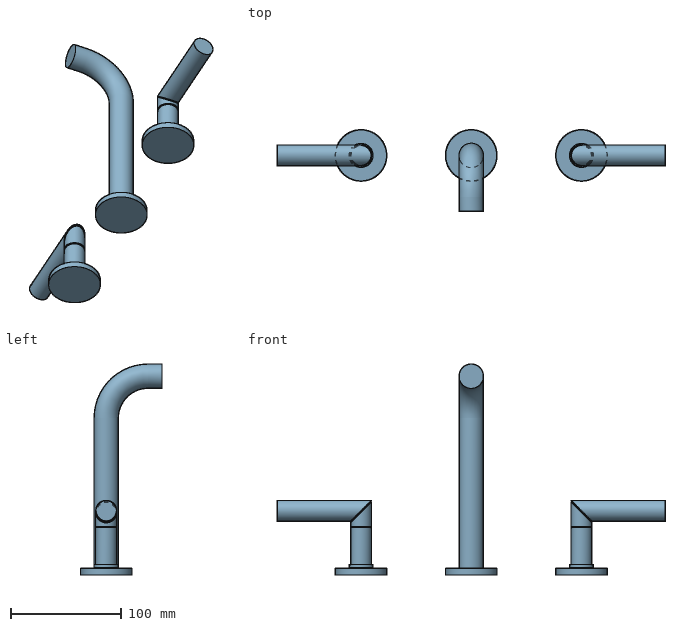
import cadquery as cq

handle_spacing = 200.0
lever_reach = 76.2

spout_height = 191.58
spout_diameter = 22.225
spout_reach = 50.8
bend_radius = 38.1

flange_diameter = 47.0
flange_thickness = 6.35
flange_edge = 0.4

collar_diameter = 21.8
collar_bottom = 7.0
collar_top = 9.5
foot_diameter = 20.6
stem_diameter = 19.05
joint_height = 44.0

groove_width = 1.0
neck_diameter = 18.0

lever_top = 67.8
lever_axis_height = lever_top - stem_diameter / 2


def disc(diameter, bottom, top):
    """Upright cylinder on the Z axis."""
    return cq.Workplane("XY").workplane(offset=bottom).circle(diameter / 2).extrude(top - bottom)


def make_flange():
    return disc(flange_diameter, 0, flange_thickness).faces(">Z").chamfer(flange_edge)


def make_spout():
    """Flange with an upright pipe that bends forward to the outlet."""
    outlet_height = spout_height - spout_diameter / 2
    bend_start = outlet_height - bend_radius
    path = (
        cq.Workplane("YZ")
        .lineTo(0, bend_start)
        .radiusArc((-bend_radius, outlet_height), -bend_radius)
        .lineTo(-spout_reach, outlet_height)
    )
    pipe = cq.Workplane("XY").circle(spout_diameter / 2).sweep(path)
    return make_flange().union(pipe)


def make_handle_base():
    """Flange, foot, collar and stem, with a short neck at the top of the stem."""
    neck_bottom = joint_height - groove_width
    foot = disc(foot_diameter, 0, collar_bottom)
    collar = disc(collar_diameter, collar_bottom, collar_top)
    stem = disc(stem_diameter, 0, neck_bottom)
    neck = disc(neck_diameter, neck_bottom, joint_height)
    base = make_flange()
    for section in (foot, collar, stem, neck):
        base = base.union(section)
    return base


def make_mitred_bar(diameter):
    """Round bar that rises from the joint and turns sharply toward +X."""
    path = (
        cq.Workplane("XZ", origin=(0, 0, joint_height))
        .lineTo(0, lever_axis_height - joint_height)
        .lineTo(lever_reach, lever_axis_height - joint_height)
    )
    section = cq.Workplane("XY", origin=(0, 0, joint_height)).circle(diameter / 2)
    return section.sweep(path, transition="right")


def make_lever():
    """Mitred bar with a shadow groove just below the mitre."""
    slab_side = 2 * stem_diameter
    mitre = cq.Plane(origin=(0, 0, lever_axis_height), xDir=(0, 1, 0), normal=(-1, 0, -1))
    slab = cq.Workplane(mitre).rect(slab_side, slab_side).extrude(groove_width)
    groove = slab.cut(make_mitred_bar(neck_diameter))
    return make_mitred_bar(stem_diameter).cut(groove)


spout = make_spout()
handle_base = make_handle_base()
lever = make_lever()

bodies = [spout.val()]
for side, turn in ((1, 0), (-1, 180)):
    offset = (side * handle_spacing / 2, 0, 0)
    for body in (handle_base, lever):
        bodies.append(body.rotate((0, 0, 0), (0, 0, 1), turn).translate(offset).val())

result = cq.Compound.makeCompound(bodies)